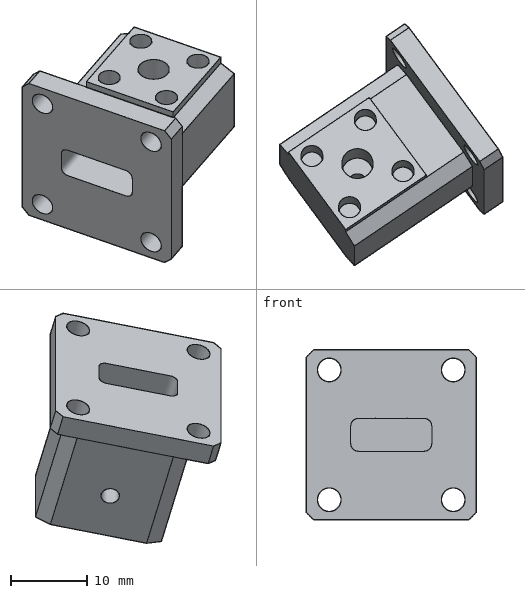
import cadquery as cq

flange_size = 22.4
flange_thickness = 3.0
flange_chamfer = 1.0
flange_hole_diameter = 3.07
flange_hole_spacing_x = 16.3
flange_hole_spacing_z = 17.07

total_length = 22.0
body_width = 17.07
body_height = 11.0
body_chamfer_height = 1.0

pad_size = 13.04
pad_length = 13.0
pad_height = 1.0

guide_width = 10.66
guide_height = 4.32
guide_corner_radius = 1.0
guide_end_wall = 3.0

connector_hole_diameter = 4.1
tuning_hole_diameter = 2.4
screw_hole_diameter = 2.9
screw_hole_depth = 3.0
screw_hole_spacing = 8.6

pad_top = body_height / 2 + pad_height
pad_center_y = total_length - pad_length / 2
guide_depth = total_length - guide_end_wall


def make_flange():
    plate = cq.Workplane("XY").box(
        flange_size, flange_thickness, flange_size, centered=(True, False, True)
    )
    plate = plate.edges("|Y").chamfer(flange_chamfer)
    holes = (
        cq.Workplane("XZ")
        .rect(flange_hole_spacing_x, flange_hole_spacing_z, forConstruction=True)
        .vertices()
        .circle(flange_hole_diameter / 2)
        .extrude(-flange_thickness)
    )
    return plate.cut(holes)


def make_body():
    """Block behind the flange; its flat top and bottom are as wide as the pad."""
    half_width = body_width / 2
    half_flat = pad_size / 2
    half_height = body_height / 2
    side_top = half_height - body_chamfer_height
    outline = [
        (half_flat, half_height),
        (half_width, side_top),
        (half_width, -side_top),
        (half_flat, -half_height),
        (-half_flat, -half_height),
        (-half_width, -side_top),
        (-half_width, side_top),
        (-half_flat, half_height),
    ]
    return cq.Workplane("XZ").polyline(outline).close().extrude(-total_length)


def make_pad():
    """Raised seat for the coaxial connector, flush with the rear of the body."""
    return (
        cq.Workplane("XY", origin=(0, pad_center_y, 0))
        .rect(pad_size, pad_length)
        .extrude(pad_top)
    )


def make_waveguide():
    """Blind rectangular channel that opens in the flange face."""
    channel = cq.Workplane("XZ").rect(guide_width, guide_height).extrude(-guide_depth)
    return channel.edges("|Y").fillet(guide_corner_radius)


def make_connector_hole():
    """Bore from the pad down into the waveguide."""
    return (
        cq.Workplane("XY", origin=(0, pad_center_y, 0))
        .circle(connector_hole_diameter / 2)
        .extrude(pad_top)
    )


def make_tuning_hole():
    """Smaller coaxial bore from the waveguide out through the bottom."""
    return (
        cq.Workplane("XY", origin=(0, pad_center_y, 0))
        .circle(tuning_hole_diameter / 2)
        .extrude(-body_height / 2)
    )


def make_screw_holes():
    """Four blind holes around the connector bore."""
    return (
        cq.Workplane("XY", origin=(0, pad_center_y, pad_top))
        .rect(screw_hole_spacing, screw_hole_spacing, forConstruction=True)
        .vertices()
        .circle(screw_hole_diameter / 2)
        .extrude(-screw_hole_depth)
    )


result = make_flange().union(make_body()).union(make_pad())
result = result.cut(make_waveguide())
result = result.cut(make_connector_hole())
result = result.cut(make_tuning_hole())
result = result.cut(make_screw_holes())